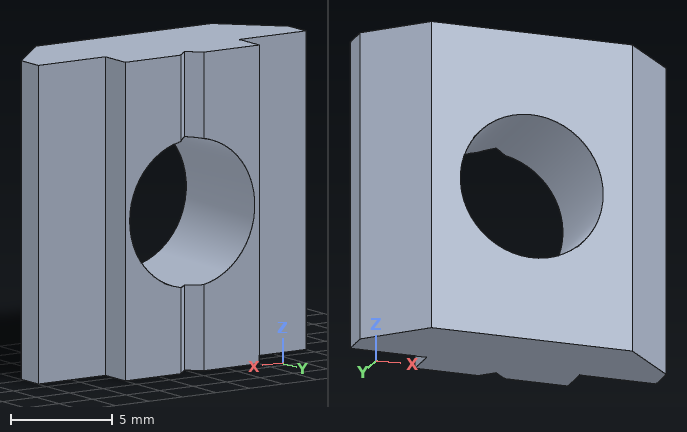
import cadquery as cq

width = 16.0
depth = 6.0
height = 16.0

bevel = 2.75
boss_width = 8.0
boss_depth = 1.75
groove_depth = 0.69
hole_diameter = 7.45

front = -depth / 2
back = depth / 2
shoulder = back - boss_depth

right_half = [
    (0, back - groove_depth),
    (groove_depth, back),
    (boss_width / 2, back),
    (boss_width / 2, shoulder),
    (width / 2, shoulder),
    (width / 2, front + bevel),
    (width / 2 - bevel, front),
]
left_half = [(-x, y) for x, y in reversed(right_half[1:])]

body = (
    cq.Workplane("XY")
    .polyline(right_half + left_half)
    .close()
    .extrude(height / 2, both=True)
)

hole = cq.Workplane("XZ").circle(hole_diameter / 2).extrude(depth, both=True)

result = body.cut(hole)